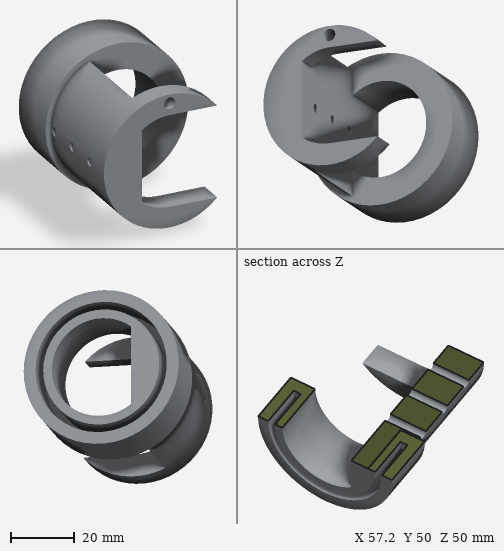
import cadquery as cq

COLLAR_DIAMETER = 50.0
COLLAR_LENGTH = 19.35
BORE_DIAMETER = 31.75
GROOVE_INNER_DIAMETER = 37.4
GROOVE_OUTER_DIAMETER = 42.3
GROOVE_DEPTH = 15.0

TOTAL_LENGTH = 57.2
CARRIER_DIAMETER = 46.0
CARRIER_LENGTH = TOTAL_LENGTH - COLLAR_LENGTH
BEAM_FLAT_Y = -9.65
UPPER_PLATE_START = 50.2
LOWER_PLATE_START = 48.1

CROSS_HOLE_DIAMETER = 3.0
CROSS_HOLE_COUNT = 3
FIRST_CROSS_HOLE_X = 21.5
CROSS_HOLE_PITCH = 12.65

PLATE_HOLE_DIAMETER = 4.0
PLATE_HOLE_Z = 19.95


def cylinder_x(diameter, start, length, z=0):
    """Cylinder parallel to X."""
    return cq.Workplane("YZ", origin=(start, 0, z)).circle(diameter / 2).extrude(length)


def box_between(low, high):
    """Box given by two opposite corners."""
    size = [b - a for a, b in zip(low, high)]
    return cq.Workplane("XY").box(*size, centered=False).translate(low)


def make_collar():
    ring = cylinder_x(COLLAR_DIAMETER, 0, COLLAR_LENGTH)
    bore = cylinder_x(BORE_DIAMETER, 0, COLLAR_LENGTH)
    groove = cylinder_x(GROOVE_OUTER_DIAMETER, 0, GROOVE_DEPTH).cut(
        cylinder_x(GROOVE_INNER_DIAMETER, 0, GROOVE_DEPTH)
    )
    return ring.cut(bore).cut(groove)


def side_opening():
    """Clearance beside the beam, reaching further along X in the upper half."""
    reach = CARRIER_DIAMETER
    upper = box_between((COLLAR_LENGTH, BEAM_FLAT_Y, 0), (UPPER_PLATE_START, reach, reach))
    lower = box_between((COLLAR_LENGTH, BEAM_FLAT_Y, -reach), (LOWER_PLATE_START, reach, 0))
    return upper.union(lower)


def plate_slot():
    """U-shaped slot as wide as the bore, open toward +Y and bounded by the beam flat."""
    half_width = BORE_DIAMETER / 2
    reach = CARRIER_DIAMETER
    round_end = cylinder_x(BORE_DIAMETER, COLLAR_LENGTH, CARRIER_LENGTH)
    straight = box_between((COLLAR_LENGTH, 0, -half_width), (TOTAL_LENGTH, reach, half_width))
    beside_beam = box_between((COLLAR_LENGTH, BEAM_FLAT_Y, -reach), (TOTAL_LENGTH, reach, reach))
    return round_end.union(straight).intersect(beside_beam)


def tongue():
    """Segment of the bore beside the beam flat, flush with the free face of the collar."""
    reach = CARRIER_DIAMETER
    beam_side = box_between((0, -reach, -reach), (COLLAR_LENGTH, BEAM_FLAT_Y, reach))
    return cylinder_x(BORE_DIAMETER, 0, COLLAR_LENGTH).intersect(beam_side)


def cross_hole(x):
    """Hole from the outside of the beam through to its flat."""
    start_y = -CARRIER_DIAMETER / 2
    plane = cq.Workplane("XZ", origin=(x, start_y, 0))
    return plane.circle(CROSS_HOLE_DIAMETER / 2).extrude(start_y - BEAM_FLAT_Y)


def make_carrier():
    body = cylinder_x(CARRIER_DIAMETER, COLLAR_LENGTH, CARRIER_LENGTH)
    body = body.cut(side_opening()).cut(plate_slot()).union(tongue())
    for index in range(CROSS_HOLE_COUNT):
        body = body.cut(cross_hole(FIRST_CROSS_HOLE_X + index * CROSS_HOLE_PITCH))
    plate_thickness = TOTAL_LENGTH - UPPER_PLATE_START
    return body.cut(cylinder_x(PLATE_HOLE_DIAMETER, UPPER_PLATE_START, plate_thickness, PLATE_HOLE_Z))


collar = make_collar()
carrier = make_carrier()

result = cq.Compound.makeCompound([collar.val(), carrier.val()])